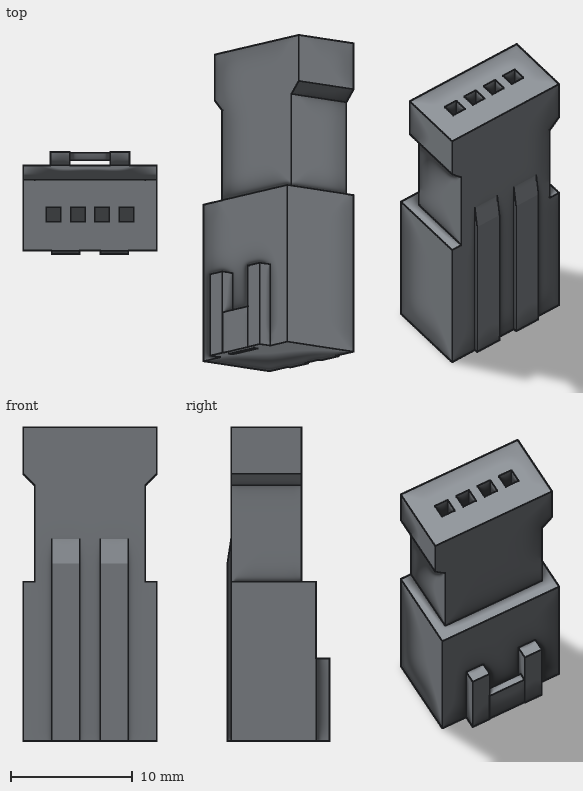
import cadquery as cq

total_height = 25.8

body_width = 11.0
body_depth = 7.0
body_height = 13.1

neck_inset = 0.95
neck_width = body_width - 2 * neck_inset
upper_depth = 5.8
head_height = 3.85
head_bottom = total_height - head_height
flank_bottom = head_bottom - neck_inset

rib_width = 2.3
rib_pitch = 4.0
rib_count = 2
rib_projection = 0.3
rib_height = 16.6
rib_taper_start = 14.6

socket_size = 1.2
socket_pitch = 2.0
socket_count = 4
socket_depth = 10.0
socket_center_y = 2.95

latch_width = 6.5
post_height = 6.8
latch_projection = 1.1
post_width = 1.6
bar_thickness = 0.65
bar_gap = 0.4
bar_height = post_height / 2


def box(x_center, y_start, z_start, width, depth, height):
    """Box centred on x_center, growing toward +Y and +Z from its start corner."""
    centered_in_x = (True, False, False)
    return cq.Workplane("XY").box(width, depth, height, centered=centered_in_x).translate(
        (x_center, y_start, z_start)
    )


def row_positions(count, pitch):
    """X positions of a row of equally spaced items, centred on X = 0."""
    return [(index - (count - 1) / 2) * pitch for index in range(count)]


def make_upper_part():
    """Neck and head, extruded rearward from their front outline."""
    right_side = [
        (neck_width / 2, body_height),
        (neck_width / 2, flank_bottom),
        (body_width / 2, head_bottom),
        (body_width / 2, total_height),
    ]
    left_side = [(-x, z) for x, z in reversed(right_side)]
    return cq.Workplane("XZ").polyline(right_side + left_side).close().extrude(-upper_depth)


def make_rib(x_center):
    """Front rib, extruded across its width from its side profile."""
    profile = [
        (0, 0),
        (-rib_projection, 0),
        (-rib_projection, rib_taper_start),
        (0, rib_height),
    ]
    rib = cq.Workplane("YZ").polyline(profile).close().extrude(rib_width / 2, both=True)
    return rib.translate((x_center, 0, 0))


def make_socket(x_center):
    """Square blind socket opening in the top of the head."""
    socket_front = socket_center_y - socket_size / 2
    socket_floor = total_height - socket_depth
    return box(x_center, socket_front, socket_floor, socket_size, socket_size, socket_depth)


def make_latch():
    """Two rear posts and the bar that spans between them, clear of the body."""
    post_pitch = latch_width - post_width
    bar_width = latch_width - 2 * post_width
    latch = box(0, body_depth + bar_gap, 0, bar_width, bar_thickness, bar_height)
    for x_center in row_positions(2, post_pitch):
        latch = latch.union(box(x_center, body_depth, 0, post_width, latch_projection, post_height))
    return latch


housing = box(0, 0, 0, body_width, body_depth, body_height)
housing = housing.union(make_upper_part())
housing = housing.union(make_latch())

for rib_x in row_positions(rib_count, rib_pitch):
    housing = housing.union(make_rib(rib_x))

for socket_x in row_positions(socket_count, socket_pitch):
    housing = housing.cut(make_socket(socket_x))

result = housing.clean()